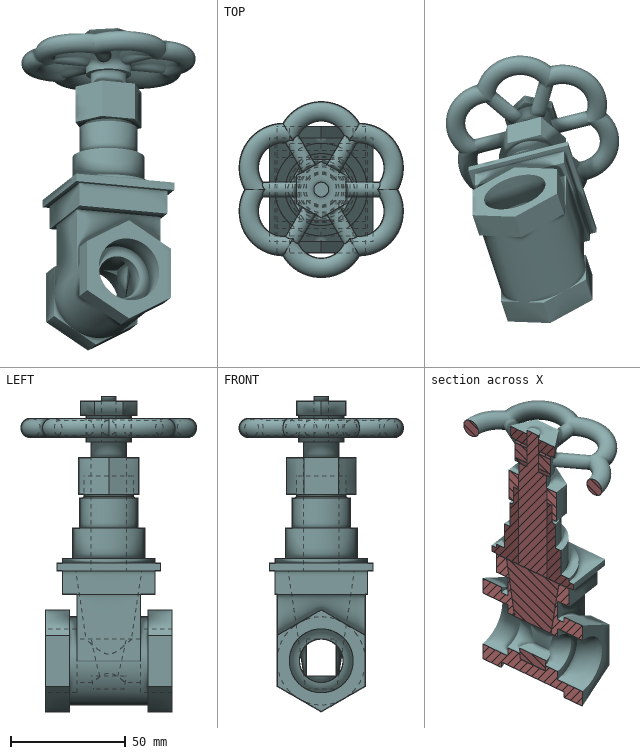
import cadquery as cq
import math


COS_30 = math.cos(math.radians(30))

END_HEX_CORNERS = 44.7
END_HEX_FLATS = END_HEX_CORNERS * COS_30
END_HEX_THICKNESS = 10.6
BODY_LENGTH = 55.5
BORE_Z = END_HEX_CORNERS / 2
BORE_DIAMETER = 19.0
SOCKET_DIAMETER = 28.0
NECK_DEPTH = 28.0
NECK_TOP_Z = 51.5
BODY_TOP_Z = 61.8
BODY_FLANGE_WIDTH = 40.6
SOCKET_DEPTH = (BODY_LENGTH - NECK_DEPTH) / 2

GATE_BORE_RADIUS = 8.6
GATE_TAPER = 0.15
GATE_BOTTOM_Z = 10.0
GATE_BOTTOM_RADIUS = GATE_BORE_RADIUS - GATE_TAPER * (BORE_Z - GATE_BOTTOM_Z)
GATE_TOP_RADIUS = GATE_BORE_RADIUS + GATE_TAPER * (BODY_TOP_Z - BORE_Z)
WINDOW_WIDTH = 13.0
WINDOW_BOTTOM_Z = 15.8
WINDOW_TOP_Z = BORE_Z + BORE_DIAMETER / 2

PLATE_WIDTH = 45.4
PLATE_THICKNESS = 3.4
STEP_DIAMETERS = (BODY_FLANGE_WIDTH, 31.6, 25.5)
STEP_HEIGHTS = (2.0, 13.3, 13.1)
BONNET_SHOULDER_Z = BODY_TOP_Z + PLATE_THICKNESS + sum(STEP_HEIGHTS)
THREAD_DIAMETER = 21.6
THREAD_ROOT_CONE = 0.8

PACKING_NUT_CORNERS = 30.6
PACKING_NUT_HEIGHT = 16.1
PACKING_NUT_GAP = 1.7
PACKING_NUT_BOTTOM_Z = BONNET_SHOULDER_Z + PACKING_NUT_GAP
PACKING_NUT_TOP_Z = PACKING_NUT_BOTTOM_Z + PACKING_NUT_HEIGHT
THREAD_TOP_Z = PACKING_NUT_BOTTOM_Z + PACKING_NUT_HEIGHT / 2

STEM_DIAMETER = 15.6
SPINDLE_DIAMETER = 6.5
STEM_EXPOSED_LENGTH = 6.8
STEM_SHOULDER_Z = PACKING_NUT_TOP_Z + STEM_EXPOSED_LENGTH
STEM_TOP_Z = 138.25

HUB_DIAMETER = 19.9
TOP_NUT_CORNERS = 24.8
TOP_NUT_HEIGHT = 6.2
SPINDLE_PROJECTION = 2.1
TOP_NUT_BOTTOM_Z = STEM_TOP_Z - SPINDLE_PROJECTION - TOP_NUT_HEIGHT
WASHER_THICKNESS = 2.0
HUB_BOTTOM_Z = STEM_SHOULDER_Z + WASHER_THICKNESS
HUB_TOP_Z = TOP_NUT_BOTTOM_Z - WASHER_THICKNESS
WHEEL_Z = 124.4
LOBE_COUNT = 6
LOBE_PITCH = 360 / LOBE_COUNT
RIM_DIAMETER = 8.5
WHEEL_SIZE_X = 72.01
WHEEL_SIZE_Y = 77.1
LOBE_CENTRE_RADIUS = (WHEEL_SIZE_Y - WHEEL_SIZE_X) / 2 / (1 - COS_30)
LOBE_ARC_RADIUS = WHEEL_SIZE_Y / 2 - LOBE_CENTRE_RADIUS - RIM_DIAMETER / 2
LOBE_HALF_SWEEP = 100
HALF_CHORD = LOBE_CENTRE_RADIUS * math.sin(math.radians(LOBE_PITCH / 2))
LOBE_JOINT_RADIUS = LOBE_CENTRE_RADIUS * COS_30 + math.sqrt(LOBE_ARC_RADIUS**2 - HALF_CHORD**2)
SPOKE_DIAMETER = 6.5


def cylinder(diameter, bottom, top):
    """Round bar along Z."""
    return cq.Workplane("XY").workplane(offset=bottom).circle(diameter / 2).extrude(top - bottom)


def square_block(width_x, width_y, bottom, top):
    """Rectangular block centred on the stem axis."""
    return cq.Workplane("XY").workplane(offset=bottom).rect(width_x, width_y).extrude(top - bottom)


def hexagon(corners, bottom, top):
    """Hexagonal bar along Z with two corners on the X axis."""
    return cq.Workplane("XY").workplane(offset=bottom).polygon(6, corners).extrude(top - bottom)


def flow_plane(y):
    """Plane across the flow bore, drawn outward along +Y, with local x along Z."""
    return cq.Workplane(cq.Plane(origin=(0, y, BORE_Z), xDir=(0, 0, 1), normal=(0, 1, 0)))


def cone(bottom_radius, top_radius, bottom, top):
    """Truncated cone along Z."""
    start = cq.Vector(0, 0, bottom)
    return cq.Workplane(cq.Solid.makeCone(bottom_radius, top_radius, top - bottom, start))


def gate_plug():
    """Tapered plug that fills the gate chamber in the body."""
    return cone(GATE_BOTTOM_RADIUS, GATE_TOP_RADIUS, GATE_BOTTOM_Z, BODY_TOP_Z)


def make_body():
    half_length = BODY_LENGTH / 2
    body = flow_plane(-half_length).circle(END_HEX_FLATS / 2).extrude(BODY_LENGTH)
    body = body.union(square_block(END_HEX_FLATS, NECK_DEPTH, BORE_Z, NECK_TOP_Z))
    body = body.union(square_block(BODY_FLANGE_WIDTH, BODY_FLANGE_WIDTH, NECK_TOP_Z, BODY_TOP_Z))
    for y in (-half_length, half_length - END_HEX_THICKNESS):
        body = body.union(flow_plane(y).polygon(6, END_HEX_CORNERS).extrude(END_HEX_THICKNESS))
    for y in (-half_length, half_length - SOCKET_DEPTH):
        body = body.cut(flow_plane(y).circle(SOCKET_DIAMETER / 2).extrude(SOCKET_DEPTH))
    body = body.cut(flow_plane(-half_length).circle(BORE_DIAMETER / 2).extrude(BODY_LENGTH))
    return body.cut(gate_plug())


def make_gate():
    """Plug with a rectangular window through it along the flow bore."""
    window = square_block(WINDOW_WIDTH, NECK_DEPTH, WINDOW_BOTTOM_Z, WINDOW_TOP_Z)
    return gate_plug().cut(window)


def make_bonnet():
    z = BODY_TOP_Z + PLATE_THICKNESS
    bonnet = square_block(PLATE_WIDTH, PLATE_WIDTH, BODY_TOP_Z, z)
    for diameter, height in zip(STEP_DIAMETERS, STEP_HEIGHTS):
        bonnet = bonnet.union(cylinder(diameter, z, z + height))
        z += height
    bonnet = bonnet.union(cylinder(THREAD_DIAMETER, z, THREAD_TOP_Z))
    thread_radius = THREAD_DIAMETER / 2
    bonnet = bonnet.union(cone(thread_radius + THREAD_ROOT_CONE, thread_radius, z, z + THREAD_ROOT_CONE))
    return bonnet.cut(cylinder(STEM_DIAMETER, BODY_TOP_Z, THREAD_TOP_Z))


def make_packing_nut():
    nut = hexagon(PACKING_NUT_CORNERS, PACKING_NUT_BOTTOM_Z, PACKING_NUT_TOP_Z)
    nut = nut.cut(cylinder(THREAD_DIAMETER, PACKING_NUT_BOTTOM_Z, THREAD_TOP_Z))
    return nut.cut(cylinder(STEM_DIAMETER, THREAD_TOP_Z, PACKING_NUT_TOP_Z))


def make_stem():
    """Stem standing on the gate, with a thin spindle above its shoulder."""
    stem = cylinder(STEM_DIAMETER, BODY_TOP_Z, STEM_SHOULDER_Z)
    return stem.union(cylinder(SPINDLE_DIAMETER, STEM_SHOULDER_Z, STEM_TOP_Z))


def make_washer(bottom):
    top = bottom + WASHER_THICKNESS
    return cylinder(HUB_DIAMETER, bottom, top).cut(cylinder(SPINDLE_DIAMETER, bottom, top))


def make_rim_lobe():
    """Lobe centred on the +X axis, mitred where its neighbours meet it."""
    section = cq.Workplane("XZ").center(LOBE_ARC_RADIUS, 0).circle(RIM_DIAMETER / 2)
    arc = section.revolve(2 * LOBE_HALF_SWEEP, (-LOBE_ARC_RADIUS, 0), (-LOBE_ARC_RADIUS, 1))
    arc = arc.rotate((0, 0, 0), (0, 0, 1), -LOBE_HALF_SWEEP)
    arc = arc.translate((LOBE_CENTRE_RADIUS, 0, WHEEL_Z))
    reach = WHEEL_SIZE_Y
    half_width = reach * math.tan(math.radians(LOBE_PITCH / 2))
    wedge = cq.Workplane("XY").workplane(offset=WHEEL_Z - RIM_DIAMETER)
    wedge = wedge.polyline([(0, 0), (reach, -half_width), (reach, half_width)]).close()
    return arc.intersect(wedge.extrude(2 * RIM_DIAMETER))


def make_handwheel():
    wheel = cylinder(HUB_DIAMETER, HUB_BOTTOM_Z, HUB_TOP_Z)
    lobe = make_rim_lobe()
    spoke_plane = cq.Plane(origin=(0, 0, WHEEL_Z), xDir=(0, 1, 0), normal=(1, 0, 0))
    spoke = cq.Workplane(spoke_plane).circle(SPOKE_DIAMETER / 2).extrude(LOBE_JOINT_RADIUS)
    for i in range(LOBE_COUNT):
        spoke_angle = i * LOBE_PITCH
        wheel = wheel.union(spoke.rotate((0, 0, 0), (0, 0, 1), spoke_angle))
        wheel = wheel.union(lobe.rotate((0, 0, 0), (0, 0, 1), spoke_angle + LOBE_PITCH / 2))
    return wheel.cut(cylinder(SPINDLE_DIAMETER, HUB_BOTTOM_Z, HUB_TOP_Z))


def make_top_nut():
    """Hexagonal nut with two corners on the Y axis."""
    top = TOP_NUT_BOTTOM_Z + TOP_NUT_HEIGHT
    nut = hexagon(TOP_NUT_CORNERS, TOP_NUT_BOTTOM_Z, top).rotate((0, 0, 0), (0, 0, 1), 30)
    return nut.cut(cylinder(SPINDLE_DIAMETER, TOP_NUT_BOTTOM_Z, top))


body = make_body()
gate = make_gate()
bonnet = make_bonnet()
packing_nut = make_packing_nut()
stem = make_stem()
washers = [make_washer(bottom) for bottom in (STEM_SHOULDER_Z, HUB_TOP_Z)]
handwheel = make_handwheel()
top_nut = make_top_nut()

result = cq.Compound.makeCompound(
    [
        body.val(),
        gate.val(),
        bonnet.val(),
        packing_nut.val(),
        stem.val(),
        *[washer.val() for washer in washers],
        handwheel.val(),
        top_nut.val(),
    ]
)